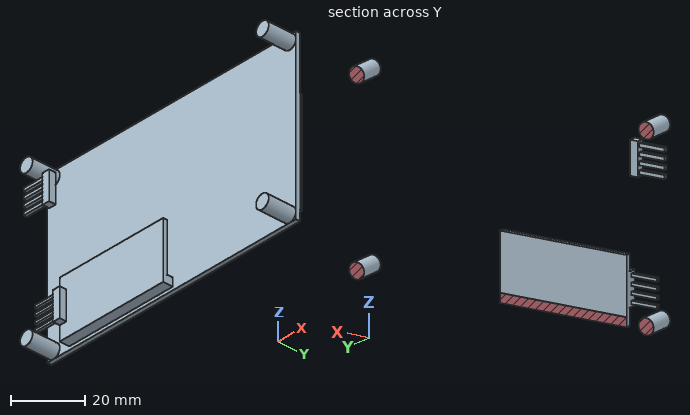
import cadquery as cq

BOARD_LENGTH = 98.0
BOARD_HEIGHT = 60.1
BOARD_THICKNESS = 1.6

DISPLAY_LENGTH = 80.2
DISPLAY_HEIGHT = 37.2
DISPLAY_DEPTH = 9.0

POST_DIAMETER = 5.0
POST_LENGTH = 10.0

DAUGHTER_LEFT = 8.7
DAUGHTER_BOTTOM = 1.2
DAUGHTER_LENGTH = 40.8
DAUGHTER_HEIGHT = 20.4
DAUGHTER_THICKNESS = 1.6
SPACER_DEPTH = 2.0
SPACER_HEIGHT = 2.9

PIN_COUNT = 4
PIN_PITCH = 2.5
HEADER_WIDTH = 2.6
HEADER_DEPTH = 2.45
HEADER_HEIGHT = PIN_COUNT * PIN_PITCH
HEADER_LEFT = DAUGHTER_LEFT
PIN_LENGTH = 8.0
LOWER_PIN_SIZE = 1.0
UPPER_PIN_SIZE = 1.2
LOWER_HEADER_BOTTOM = 6.4
UPPER_HEADER_BOTTOM = 41.9
UPPER_HEADER_SETBACK = 0.1

DAUGHTER_FRONT = -SPACER_DEPTH - DAUGHTER_THICKNESS
UPPER_HEADER_FRONT = -POST_LENGTH + UPPER_HEADER_SETBACK


def block(x, y, z, length, depth, height):
    """Box with its minimum corner at (x, y, z)."""
    return cq.Workplane("XY").box(length, depth, height, centered=False).translate((x, y, z))


def pin_header(front, bottom, pin_size):
    """Header bar with its row of pins, fused into one solid."""
    header = block(HEADER_LEFT, front, bottom, HEADER_WIDTH, HEADER_DEPTH, HEADER_HEIGHT)
    pin_front = front + (HEADER_DEPTH - pin_size) / 2
    for index in range(PIN_COUNT):
        pin_bottom = bottom + (index + 0.5) * PIN_PITCH - pin_size / 2
        pin = block(HEADER_LEFT - PIN_LENGTH, pin_front, pin_bottom, PIN_LENGTH, pin_size, pin_size)
        header = header.union(pin)
    return header


def corner_posts():
    """Four round posts standing forward from the corners of the main board."""
    inset = POST_DIAMETER / 2
    centres = [
        (x, z)
        for x in (inset, BOARD_LENGTH - inset)
        for z in (inset, BOARD_HEIGHT - inset)
    ]
    return cq.Workplane("XZ").pushPoints(centres).circle(POST_DIAMETER / 2).extrude(POST_LENGTH)


def display():
    """Display block on the back of the main board."""
    left = (BOARD_LENGTH - DISPLAY_LENGTH) / 2
    bottom = (BOARD_HEIGHT - DISPLAY_HEIGHT) / 2
    return block(left, BOARD_THICKNESS, bottom, DISPLAY_LENGTH, DISPLAY_DEPTH, DISPLAY_HEIGHT)


def daughter_board():
    """Daughter board with the spacer strip along its bottom edge."""
    plate = block(
        DAUGHTER_LEFT, DAUGHTER_FRONT, DAUGHTER_BOTTOM,
        DAUGHTER_LENGTH, DAUGHTER_THICKNESS, DAUGHTER_HEIGHT,
    )
    spacer = block(
        DAUGHTER_LEFT, -SPACER_DEPTH, DAUGHTER_BOTTOM,
        DAUGHTER_LENGTH, SPACER_DEPTH, SPACER_HEIGHT,
    )
    return plate.union(spacer)


def display_module():
    """Main board with everything that is attached to it."""
    board = block(0, 0, 0, BOARD_LENGTH, BOARD_THICKNESS, BOARD_HEIGHT)
    lower_header = pin_header(DAUGHTER_FRONT - HEADER_DEPTH, LOWER_HEADER_BOTTOM, LOWER_PIN_SIZE)
    return (
        board.union(display())
        .union(corner_posts())
        .union(daughter_board())
        .union(lower_header)
    )


module = display_module()
upper_header = pin_header(UPPER_HEADER_FRONT, UPPER_HEADER_BOTTOM, UPPER_PIN_SIZE)

result = cq.Compound.makeCompound([module.val(), upper_header.val()])